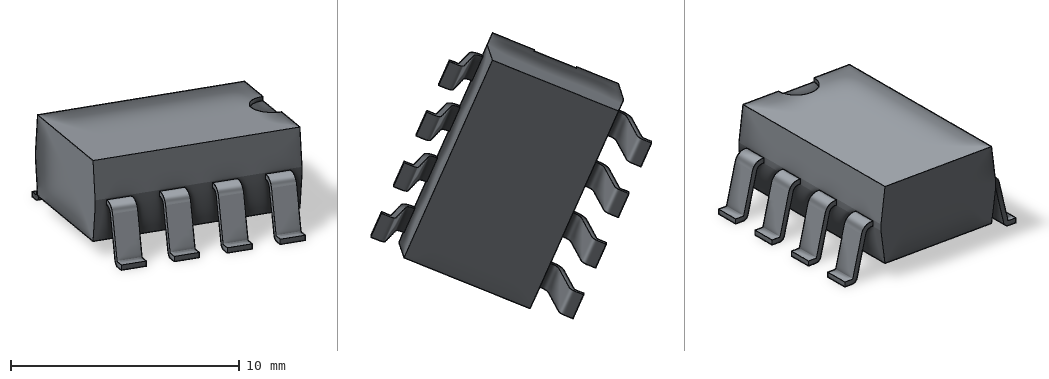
import cadquery as cq
import math

overall_width = 9.62
overall_height = 4.6

housing_length = 9.91
housing_height = 3.81
band_width = 6.45
face_width = 6.0
upper_taper_height = 1.8
lower_taper_height = 1.68

notch_radius = 1.0
notch_depth = 0.2

leads_per_side = 4
lead_pitch = 2.54
lead_width = 1.2
lead_thickness = 0.25
lead_top_inset = 0.05
lead_angle = 76.5
shoulder_length = 0.09
shoulder_inner_radius = 0.33
foot_inner_radius = 0.05

housing_bottom = overall_height - housing_height
band_bottom = housing_bottom + lower_taper_height
band_top = overall_height - upper_taper_height

lead_top = band_top - lead_top_inset


def make_housing():
    """Tapered prism with the half-round notch cut into its top."""
    half_profile = [
        (0, housing_bottom),
        (face_width / 2, housing_bottom),
        (band_width / 2, band_bottom),
        (band_width / 2, band_top),
        (face_width / 2, overall_height),
        (0, overall_height),
    ]
    body = (
        cq.Workplane("XZ")
        .polyline(half_profile)
        .mirrorY()
        .extrude(housing_length / 2, both=True)
    )
    notch = (
        cq.Workplane("XY", origin=(0, housing_length / 2, overall_height))
        .circle(notch_radius)
        .extrude(-notch_depth)
    )
    return body.cut(notch)


def point_on_circle(center, radius, degrees_from_up):
    """Point on a circle in the XZ plane, its angle turning from +Z towards +X."""
    angle = math.radians(degrees_from_up)
    return (
        center[0] + radius * math.sin(angle),
        center[1] + radius * math.cos(angle),
    )


def make_lead(y_center):
    """Lead on the +X side: shoulder bend, sloping shank, foot bend and flat foot."""
    shoulder_outer_radius = shoulder_inner_radius + lead_thickness
    foot_outer_radius = foot_inner_radius + lead_thickness
    slope = math.radians(lead_angle)

    root_x = band_width / 2
    tip_x = overall_width / 2
    shoulder = (root_x + shoulder_length, lead_top - shoulder_outer_radius)
    foot_z = foot_outer_radius
    center_offset = shoulder_outer_radius + foot_inner_radius
    drop = shoulder[1] - foot_z
    shank_length = (drop + center_offset * math.cos(slope)) / math.sin(slope)
    foot_x = shoulder[0] + center_offset * math.sin(slope) + shank_length * math.cos(slope)
    foot = (foot_x, foot_z)

    foot_angle = lead_angle + 180
    middle_angle = lead_angle / 2
    foot_middle_angle = middle_angle + 180

    profile = (
        cq.Workplane("XZ", origin=(0, y_center, 0))
        .moveTo(root_x, lead_top)
        .lineTo(*point_on_circle(shoulder, shoulder_outer_radius, 0))
        .threePointArc(
            point_on_circle(shoulder, shoulder_outer_radius, middle_angle),
            point_on_circle(shoulder, shoulder_outer_radius, lead_angle),
        )
        .lineTo(*point_on_circle(foot, foot_inner_radius, foot_angle))
        .threePointArc(
            point_on_circle(foot, foot_inner_radius, foot_middle_angle),
            point_on_circle(foot, foot_inner_radius, 180),
        )
        .lineTo(tip_x, lead_thickness)
        .lineTo(tip_x, 0)
        .lineTo(*point_on_circle(foot, foot_outer_radius, 180))
        .threePointArc(
            point_on_circle(foot, foot_outer_radius, foot_middle_angle),
            point_on_circle(foot, foot_outer_radius, foot_angle),
        )
        .lineTo(*point_on_circle(shoulder, shoulder_inner_radius, lead_angle))
        .threePointArc(
            point_on_circle(shoulder, shoulder_inner_radius, middle_angle),
            point_on_circle(shoulder, shoulder_inner_radius, 0),
        )
        .lineTo(root_x, lead_top - lead_thickness)
        .close()
    )
    return profile.extrude(lead_width / 2, both=True)


housing = make_housing()

leads = []
for index in range(leads_per_side):
    lead_y = (index - (leads_per_side - 1) / 2) * lead_pitch
    right_lead = make_lead(lead_y)
    left_lead = right_lead.mirror("YZ")
    leads.append(right_lead.val())
    leads.append(left_lead.val())

result = cq.Compound.makeCompound([housing.val(), *leads])